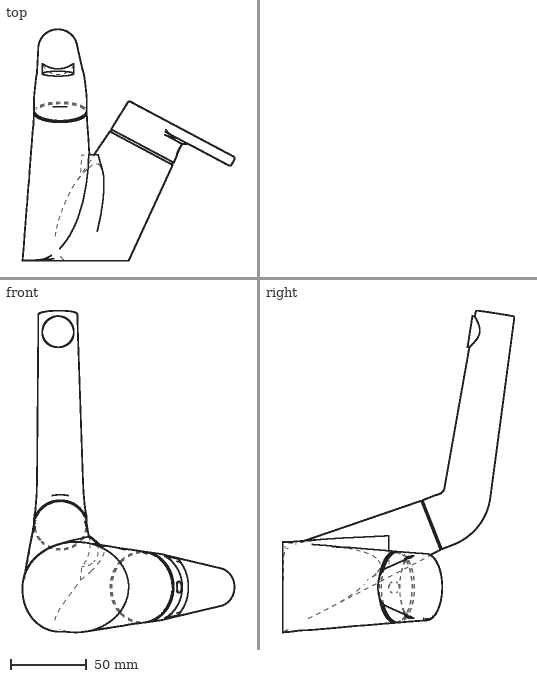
import cadquery as cq
import math

base_half_width = 35.2
base_half_height = 30.0
base_center = cq.Vector(base_half_width, 0, base_half_height)

tube_foot_half_width = 24.7
tube_foot_half_height = 27.7
tube_foot_center = cq.Vector(tube_foot_half_width, 0, 28.1)
joint_center = cq.Vector(25.2, 98.0, 71.0)
joint_diameter = 35.0
tube_pitch = math.radians(21.5)
joint_to_corner = 23.9
elbow_radius = 22.4
elbow_steps = 6
elbow_end_diameter = 31.1
tip_center = cq.Vector(23.5, 140.7, 211.3)
tip_diameter = 26.0
tip_rounding = 1.3

outlet_diameter = 21.0
outlet_drop = 14.5
outlet_reach = 14.7

branch_lean = math.radians(28.0)
valve_center = cq.Vector(78.7, 74.6, base_half_height)
valve_diameter = 47.3
cap_height = 23.9
cap_top_diameter = 44.1
cap_rounding = 1.0
lever_thickness = 6.8
lever_reach = 58.0
lever_tip_radius = 12.8
lever_rounding = 1.7
lever_flare = 2.1
screw_diameter = 7.7
screw_height = 10.9
screw_depth = 1.3

web_top_center = cq.Vector(39.5, 70.4, 54.4)
web_top_radius = 10.7
web_inset = 0.5

tube_groove_width = 1.0
branch_groove_width = 1.7
groove_depth = 0.6

x_axis = cq.Vector(1, 0, 0)
base_normal = cq.Vector(0, 1, 0)
tube_axis = cq.Vector(0, math.cos(tube_pitch), math.sin(tube_pitch))
branch_axis = cq.Vector(math.sin(branch_lean), math.cos(branch_lean), 0)
lever_axis = cq.Vector(math.cos(branch_lean), -math.sin(branch_lean), 0)


def circle(center, normal, radius):
    return cq.Wire.makeCircle(radius, center, normal)


def ellipse(center, half_width, half_height):
    """Ellipse on the mounting plane, the half width measured along X."""
    plane = cq.Plane(center, x_axis, base_normal)
    return cq.Workplane(plane).ellipse(half_width, half_height).wires().val()


def loft(*wires, ruled=True):
    return cq.Workplane(obj=cq.Solid.makeLoft(list(wires), ruled))


def groove(center, axis, diameter, width):
    """Ring that cuts a shallow groove around a joint."""
    ring = cq.Workplane(cq.Plane(center, x_axis.cross(axis), axis))
    return ring.circle(diameter).circle(diameter / 2 - groove_depth).extrude(width)


def make_body():
    foot = ellipse(base_center, base_half_width, base_half_height)
    tube_foot = ellipse(tube_foot_center, tube_foot_half_width, tube_foot_half_height)
    branch = loft(foot, circle(valve_center, branch_axis, valve_diameter / 2))
    tube = loft(tube_foot, circle(joint_center, tube_axis, joint_diameter / 2))
    web_foot = ellipse(base_center, base_half_width - web_inset, base_half_height - web_inset)
    web = loft(web_foot, circle(web_top_center, base_normal, web_top_radius))
    return branch.union(tube).union(web)


def make_spout():
    corner = joint_center + tube_axis * joint_to_corner
    pipe_axis = (tip_center - corner).normalized()
    turn = tube_axis.getAngle(pipe_axis)
    elbow_start = corner - tube_axis * (elbow_radius * math.tan(turn / 2))
    inward = (pipe_axis - tube_axis * tube_axis.dot(pipe_axis)).normalized()

    sections = []
    for step in range(elbow_steps + 1):
        part = step / elbow_steps
        angle = turn * part
        ahead = tube_axis * (elbow_radius * math.sin(angle))
        aside = inward * (elbow_radius * (1 - math.cos(angle)))
        heading = tube_axis * math.cos(angle) + inward * math.sin(angle)
        diameter = joint_diameter + (elbow_end_diameter - joint_diameter) * part
        sections.append(circle(elbow_start + ahead + aside, heading, diameter / 2))

    collar = loft(circle(joint_center, tube_axis, joint_diameter / 2), sections[0])
    elbow = loft(*sections, ruled=False)
    pipe = loft(sections[-1], circle(tip_center, pipe_axis, tip_diameter / 2))
    pipe = pipe.faces(">Z").edges().fillet(tip_rounding)

    outlet_axis = x_axis.cross(pipe_axis).normalized()
    outlet_root = tip_center - pipe_axis * outlet_drop
    outlet = cq.Workplane(cq.Plane(outlet_root, x_axis, outlet_axis))
    outlet = outlet.circle(outlet_diameter / 2).extrude(outlet_reach)
    return collar.union(elbow).union(pipe).union(outlet)


def make_blade(bottom_height, thickness):
    """Flat blade: the cap's top circle tapering tangentially to a rounded tip."""
    root_radius = cap_top_diameter / 2
    tip_offset = lever_reach - lever_tip_radius
    flank = math.acos((root_radius - lever_tip_radius) / tip_offset)
    along, across = math.cos(flank), math.sin(flank)
    tip_along = tip_offset + lever_tip_radius * along
    tip_across = lever_tip_radius * across
    bottom = valve_center + branch_axis * bottom_height
    return (
        cq.Workplane(cq.Plane(bottom, lever_axis, branch_axis))
        .moveTo(root_radius * along, root_radius * across)
        .lineTo(tip_along, tip_across)
        .threePointArc((lever_reach, 0), (tip_along, -tip_across))
        .lineTo(root_radius * along, -root_radius * across)
        .threePointArc((-root_radius, 0), (root_radius * along, root_radius * across))
        .close()
        .extrude(thickness)
    )


def make_lever():
    """Rounded blade flush with the cap top, with a flared neck beneath it."""
    bottom_height = cap_height - lever_thickness
    blade = make_blade(bottom_height, lever_thickness)
    for top in (True, False):
        face = cq.selectors.DirectionMinMaxSelector(branch_axis, top)
        blade = blade.faces(face).edges().fillet(lever_rounding)

    neck_height = bottom_height - lever_flare
    neck_radius = cap_top_diameter / 2
    flare = loft(
        circle(valve_center + branch_axis * neck_height, branch_axis, neck_radius),
        circle(valve_center + branch_axis * bottom_height, branch_axis, neck_radius + 2 * lever_flare),
    )
    flare = flare.intersect(make_blade(neck_height, lever_flare))
    return blade.union(flare)


def make_handle():
    cap_top = valve_center + branch_axis * cap_height
    cap = loft(
        circle(valve_center, branch_axis, valve_diameter / 2),
        circle(cap_top, branch_axis, cap_top_diameter / 2),
    )
    cap = cap.faces(cq.selectors.DirectionMinMaxSelector(branch_axis)).edges().fillet(cap_rounding)
    screw_offset = valve_diameter / 2 - screw_depth
    screw_seat = valve_center + branch_axis * screw_height + lever_axis * screw_offset
    screw_hole = cq.Workplane(cq.Plane(screw_seat, branch_axis, lever_axis))
    screw_hole = screw_hole.circle(screw_diameter / 2).extrude(2 * screw_depth)
    return cap.union(make_lever()).cut(screw_hole)


result = make_body().union(make_spout()).union(make_handle())
result = result.cut(groove(joint_center, tube_axis, joint_diameter, tube_groove_width))
result = result.cut(groove(valve_center, branch_axis, valve_diameter, branch_groove_width))